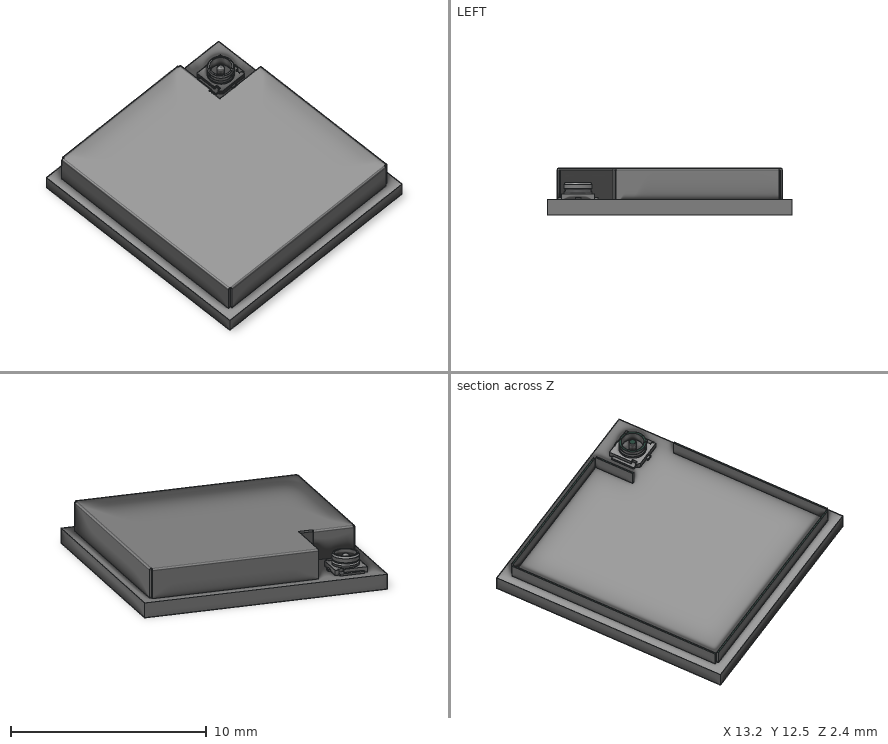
import cadquery as cq

board_x = 13.2
board_y = 12.5
board_top = 0.8

can_margin = 0.5
can_top = 2.4
sheet = 0.1
bend_radius = 0.09
corner_slit = 0.05
notch_x = -3.04
notch_wall_y = 2.9
notch_wall_end_x = -3.8

can_half_x = board_x / 2 - can_margin
can_half_y = board_y / 2 - can_margin
roof_half_x = can_half_x - sheet
roof_half_y = can_half_y - sheet
side_end_y = roof_half_y - corner_slit
notch_roof_y = notch_wall_y - sheet
notch_relief_y = notch_roof_y - corner_slit

connector_x = -4.9
connector_y = 4.69
base_x = 1.75
base_y = 1.7
base_height = 0.28
base_chamfer = 0.13
contact_height = 0.1
ground_x = 1.32
ground_span_y = 2.03
ground_window_x = 0.26
ground_window_y = 0.16
tab_span_x = 1.98
tab_y = 0.28
barrel_diameter = 1.41
barrel_bore = 1.14
barrel_top = 0.87
rim_chamfer = 0.05
rim_chamfer_height = 0.1
groove_bottom = 0.38
groove_top = 0.55
groove_depth = 0.07
pin_diameter = 0.4
pin_top = 0.82
pin_rounding = 0.16


def block(x0, x1, y0, y1, z0, z1):
    """Box between two opposite corners."""
    return cq.Workplane("XY").box(x1 - x0, y1 - y0, z1 - z0, centered=False).translate((x0, y0, z0))


def make_board():
    return cq.Workplane("XY").box(board_x, board_y, board_top, centered=(True, True, False))


def wall_along_x(x0, x1, outer_y, outward):
    """Wall parallel to X whose top outer edge is rounded; outward is the sign of its normal."""
    inner_y = outer_y - outward * sheet
    wall = block(x0, x1, min(inner_y, outer_y), max(inner_y, outer_y), board_top, can_top)
    bend_edge = ">Z and >Y" if outward > 0 else ">Z and <Y"
    return wall.edges(bend_edge).fillet(bend_radius)


def wall_along_y(y0, y1, outer_x, outward):
    """Wall parallel to Y whose top outer edge is rounded; outward is the sign of its normal."""
    inner_x = outer_x - outward * sheet
    wall = block(min(inner_x, outer_x), max(inner_x, outer_x), y0, y1, board_top, can_top)
    bend_edge = ">Z and >X" if outward > 0 else ">Z and <X"
    return wall.edges(bend_edge).fillet(bend_radius)


def make_can():
    roof = (
        cq.Workplane("XY", origin=(0, 0, can_top - sheet))
        .polyline([
            (-roof_half_x, -roof_half_y),
            (roof_half_x, -roof_half_y),
            (roof_half_x, roof_half_y),
            (notch_x, roof_half_y),
            (notch_x, notch_relief_y),
            (notch_wall_end_x, notch_relief_y),
            (notch_wall_end_x, notch_roof_y),
            (-roof_half_x, notch_roof_y),
        ])
        .close()
        .extrude(sheet)
    )
    return (
        roof
        .union(wall_along_x(-roof_half_x, roof_half_x, -can_half_y, -1))
        .union(wall_along_x(notch_x, roof_half_x, can_half_y, 1))
        .union(wall_along_x(-roof_half_x, notch_wall_end_x, notch_wall_y, 1))
        .union(wall_along_y(-side_end_y, side_end_y, can_half_x, 1))
        .union(wall_along_y(-side_end_y, notch_relief_y, -can_half_x, -1))
    )


def make_base():
    """Insulating base with an opening at each ground contact, plus the contacts."""
    base = cq.Workplane("XY").box(base_x, base_y, base_height, centered=(True, True, False))
    base = base.edges("|Z and >X and <Y").chamfer(base_chamfer)
    window_right = ground_x / 2
    for side in (-1, 1):
        window = cq.Workplane("XY").box(
            ground_window_x, 2 * ground_window_y, base_height, centered=(True, True, False)
        )
        base = base.cut(window.translate((window_right - ground_window_x / 2, side * base_y / 2, 0)))
    ground = cq.Workplane("XY").box(ground_x, ground_span_y, contact_height, centered=(True, True, False))
    tabs = cq.Workplane("XY").box(tab_span_x, tab_y, contact_height, centered=(True, True, False))
    return base.union(ground).union(tabs)


def make_barrel():
    """Revolved outer contact with a V-shaped snap groove and a chamfered rim."""
    outer = barrel_diameter / 2
    bore = barrel_bore / 2
    neck = outer - groove_depth
    return (
        cq.Workplane("XZ")
        .polyline([
            (bore, 0),
            (outer, 0),
            (outer, groove_bottom),
            (neck, (groove_bottom + groove_top) / 2),
            (outer, groove_top),
            (outer, barrel_top - rim_chamfer_height),
            (outer - rim_chamfer, barrel_top),
            (bore, barrel_top),
        ])
        .close()
        .revolve(360, (0, 0, 0), (0, 1, 0))
    )


def make_connector():
    pin = cq.Workplane("XY").circle(pin_diameter / 2).extrude(pin_top)
    pin = pin.faces(">Z").edges().fillet(pin_rounding)
    connector = make_base().union(make_barrel()).union(pin)
    return connector.translate((connector_x, connector_y, board_top))


board = make_board()
can = make_can()
connector = make_connector()

result = cq.Compound.makeCompound([board.val(), can.val(), connector.val()])